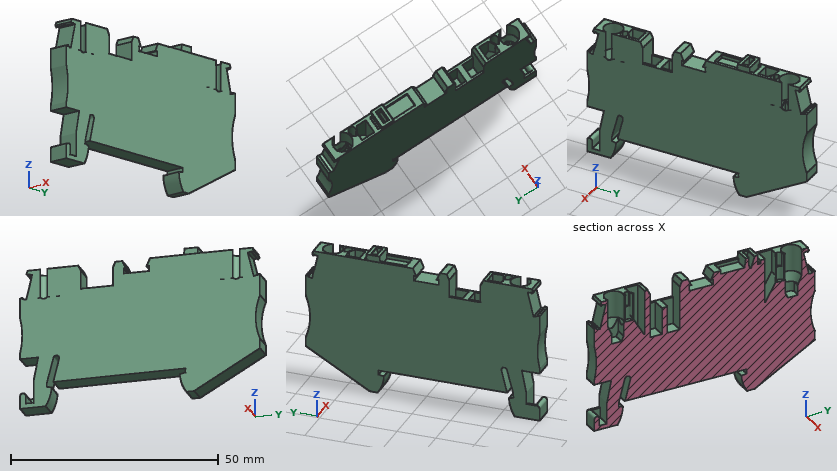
import cadquery as cq

width = 5.15
length = 60.4
half_length = length / 2
deck_z = 35.3
tab_top_z = 36.85
rail_z = 6.05
groove_floor_z = 32.0
trough_floor_z = 29.25
snap_tip_z = 33.3
trough_near_y = -6.8
trough_far_y = -14.85

end_recess = [
    (28.25, deck_z),
    (28.55, 34.4),
    (28.2, 34.0),
    (27.95, 34.3),
    (27.1, 34.05),
    (28.6, 27.9),
    (29.55, 28.15),
    (29.6, 28.45),
    (half_length, 28.25),
]

funnel_x = 0.25
funnel_y = 24.2
funnel_radius = 2.5
funnel_throat_radius = 1.6
funnel_straight_depth = 7.25
funnel_cone_depth = 2.4
wire_hole_x = 0.1
wire_hole_width = 2.85
wire_hole_inner_y = 22.15
wire_hole_outer_y = 25.55
wire_hole_floor_z = 22.95
wire_ramp_run = 0.6
wire_ramp_height = 1.3
test_hole_x = 1.4
test_hole_y = 20.65
test_hole_radius = 0.95
test_hole_depth = 7.25
side_hole_x = 0.55
side_hole_y = 20.8
side_hole_radius = 0.65
side_hole_depth = 3.6
release_left_x = -1.95
release_right_x = 1.75
release_inner_y = 16.5
release_outer_y = 20.05
release_corner_x = 0.1
release_corner_drop = 0.95
release_shallow_depth = 6.05
release_deep_depth = 12.1

tab_width = 4.95
tab_y_max = 14.55
tab_top_y_min = 11.2
tab_foot_y_min = 10.9
marker_width = 3.5
marker_pocket_depth = 0.9
marker_pocket_y_min = 4.45
marker_pocket_y_max = 15.2
tab_slot_y_min = 12.1
tab_slot_y_max = 13.6
tab_slot_valley_y = 12.6
tab_slot_inner_depth = 2.0
tab_slot_valley_depth = 3.15
tab_slot_outer_depth = 0.2

jumper_width = 3.85
jumper_x = -0.05
jumper_near_length = 3.3
jumper_far_length = 3.15
jumper_depth = 7.25

foot_root_z = 12.75
hook_top_z = 3.9
hook_round = 0.7
hook_slot_wall = 0.6
hook_slot_floor_z = 1.2
foot_outer_y = -26.75


def box(x, y, z_low, z_high, size_x, size_y):
    """Block centred at (x, y) between two heights."""
    base = cq.Workplane("XY", origin=(x, y, z_low))
    return base.rect(size_x, size_y).extrude(z_high - z_low)


def side_prism(points, x_min, x_max):
    """Closed (Y, Z) outline extruded along X."""
    base = cq.Workplane("YZ", origin=(x_min, 0, 0))
    return base.polyline(points).close().extrude(x_max - x_min)


def make_body():
    minus_y_end = [(-y, z) for y, z in end_recess]
    outline = (
        cq.Workplane("YZ", origin=(-width / 2, 0, 0))
        .moveTo(*end_recess[0])
        .lineTo(2.55, deck_z)
        .lineTo(1.65, snap_tip_z)
        .lineTo(2.3, snap_tip_z)
        .lineTo(2.3, groove_floor_z)
        .lineTo(-4.1, groove_floor_z)
        .lineTo(-4.1, snap_tip_z)
        .lineTo(-3.55, snap_tip_z)
        .lineTo(-4.45, deck_z)
        .lineTo(-6.2, deck_z)
        .lineTo(trough_near_y, 33.8)
        .lineTo(trough_near_y, trough_floor_z)
        .lineTo(trough_far_y, trough_floor_z)
        .lineTo(trough_far_y, 33.8)
        .lineTo(-15.6, deck_z)
    )
    for point in minus_y_end:
        outline = outline.lineTo(*point)
    outline = (
        outline
        .lineTo(-half_length, 23.3)
        .threePointArc((-29.65, 18.7), (-half_length, 14.15))
        .lineTo(-half_length, foot_root_z)
        .lineTo(-25.6, foot_root_z)
        .lineTo(foot_outer_y, 7.0)
        .lineTo(foot_outer_y, hook_top_z)
        .lineTo(-half_length + hook_round, hook_top_z)
        .radiusArc((-half_length, hook_top_z - hook_round), -hook_round)
        .lineTo(-half_length, 0)
        .lineTo(-23.75, 0)
        .threePointArc((-22.85, 1.8), (-22.2, 4.65))
        .lineTo(-23.45, 5.0)
        .lineTo(-23.45, 5.9)
        .lineTo(-21.8, 12.1)
        .threePointArc((-21.1, 12.75), (-20.35, 11.8))
        .lineTo(-21.8, rail_z)
        .lineTo(11.4, rail_z)
        .lineTo(11.4, 4.95)
        .lineTo(10.0, 4.7)
        .threePointArc((10.65, 1.8), (11.65, 0))
        .lineTo(13.65, 0)
        .lineTo(half_length, 9.25)
        .lineTo(half_length, 11.7)
        .threePointArc((29.1, 17.3), (half_length, 22.9))
    )
    for point in reversed(end_recess[1:]):
        outline = outline.lineTo(*point)
    return outline.close().extrude(width)


def round_hole(x, y, radius, depth):
    """Round plug reaching down from the deck."""
    return cq.Workplane("XY", origin=(x, y, deck_z)).circle(radius).extrude(-depth)


def make_funnel():
    """Straight bore, a cone below it, and a flat-sided wire hole with a ramped floor."""
    cone_top_z = deck_z - funnel_straight_depth
    cone = cq.Workplane("XY").add(
        cq.Solid.makeCone(
            funnel_radius,
            funnel_throat_radius,
            funnel_cone_depth,
            pnt=cq.Vector(funnel_x, funnel_y, cone_top_z),
            dir=cq.Vector(0, 0, -1),
        )
    )
    wire_hole = side_prism(
        [
            (wire_hole_inner_y, cone_top_z),
            (wire_hole_inner_y, wire_hole_floor_z + wire_ramp_height),
            (wire_hole_inner_y + wire_ramp_run, wire_hole_floor_z),
            (wire_hole_outer_y, wire_hole_floor_z),
            (wire_hole_outer_y, cone_top_z),
        ],
        wire_hole_x - wire_hole_width / 2,
        wire_hole_x + wire_hole_width / 2,
    )
    inner_half_length = funnel_y - wire_hole_inner_y
    inner_half = box(
        wire_hole_x,
        funnel_y - inner_half_length / 2,
        wire_hole_floor_z,
        cone_top_z,
        wire_hole_width,
        inner_half_length,
    )
    throat = round_hole(funnel_x, funnel_y, funnel_throat_radius, deck_z - wire_hole_floor_z)
    wire_hole = wire_hole.intersect(throat.union(inner_half))
    bore = round_hole(funnel_x, funnel_y, funnel_radius, funnel_straight_depth)
    return bore.union(cone).union(wire_hole)


def make_release_pocket():
    """Five-sided opening over a steep floor that is deepest at its inner end."""
    release_opening = (
        cq.Workplane("XY", origin=(0, 0, deck_z))
        .moveTo(release_left_x, release_inner_y)
        .lineTo(release_left_x, release_outer_y)
        .lineTo(release_corner_x, release_outer_y)
        .lineTo(release_right_x, release_outer_y - release_corner_drop)
        .lineTo(release_right_x, release_inner_y)
        .close()
        .extrude(-release_deep_depth)
    )
    release_slope = side_prism(
        [
            (release_inner_y, deck_z),
            (release_outer_y, deck_z),
            (release_outer_y, deck_z - release_shallow_depth),
            (release_inner_y, deck_z - release_deep_depth),
        ],
        release_left_x,
        release_right_x,
    )
    return release_opening.intersect(release_slope)


def make_wire_entry():
    """Cutters for everything a wire connection needs at the +Y end."""
    return [
        make_funnel(),
        round_hole(test_hole_x, test_hole_y, test_hole_radius, test_hole_depth),
        round_hole(side_hole_x, side_hole_y, side_hole_radius, side_hole_depth),
        make_release_pocket(),
    ]


def make_marker_pocket():
    return box(
        0,
        (marker_pocket_y_min + marker_pocket_y_max) / 2,
        deck_z - marker_pocket_depth,
        deck_z,
        marker_width,
        marker_pocket_y_max - marker_pocket_y_min,
    )


def make_tab():
    pocket_floor_z = deck_z - marker_pocket_depth
    outline = [
        (tab_foot_y_min, pocket_floor_z),
        (tab_top_y_min, tab_top_z),
        (tab_y_max, tab_top_z),
        (tab_y_max, pocket_floor_z),
    ]
    return side_prism(outline, -tab_width / 2, tab_width / 2)


def make_tab_slot():
    """Slot from the tab top with a floor that slopes down to a valley from both ends."""
    return side_prism(
        [
            (tab_slot_y_min, tab_top_z),
            (tab_slot_y_min, tab_top_z - tab_slot_inner_depth),
            (tab_slot_valley_y, tab_top_z - tab_slot_valley_depth),
            (tab_slot_y_max, tab_top_z - tab_slot_outer_depth),
            (tab_slot_y_max, tab_top_z),
        ],
        -marker_width / 2,
        marker_width / 2,
    )


def make_jumper_pockets():
    floor_z = trough_floor_z - jumper_depth
    near_y = trough_near_y - jumper_near_length / 2
    far_y = trough_far_y + jumper_far_length / 2
    near = box(jumper_x, near_y, floor_z, trough_floor_z, jumper_width, jumper_near_length)
    far = box(jumper_x, far_y, floor_z, trough_floor_z, jumper_width, jumper_far_length)
    return [near, far]


def make_hook_slot():
    """Screwdriver slot in the spring foot, open to +X, leaving a half-round bar at its tip."""
    bar_inner_y = -half_length + 2 * hook_round
    return (
        cq.Workplane("YZ", origin=(-width / 2 + hook_slot_wall, 0, 0))
        .moveTo(foot_outer_y, hook_top_z)
        .lineTo(foot_outer_y, hook_slot_floor_z)
        .lineTo(bar_inner_y, hook_slot_floor_z)
        .lineTo(bar_inner_y, hook_top_z - hook_round)
        .radiusArc((-half_length + hook_round, hook_top_z), -hook_round)
        .close()
        .extrude(width - hook_slot_wall)
    )


result = make_body().cut(make_marker_pocket()).union(make_tab()).cut(make_tab_slot())
for cutter in make_wire_entry():
    result = result.cut(cutter).cut(cutter.mirror("XZ"))
for pocket in make_jumper_pockets():
    result = result.cut(pocket)
result = result.cut(make_hook_slot())